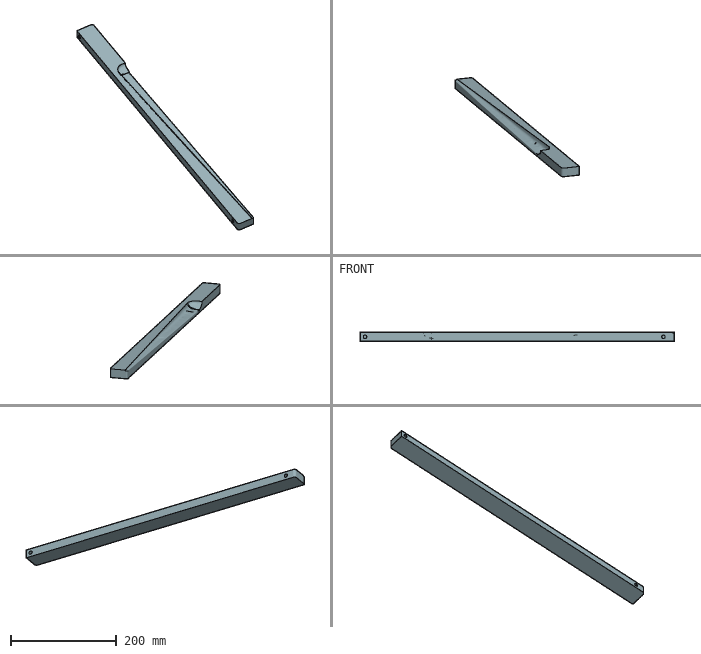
import cadquery as cq
import math

length = 595.0
width = 35.0
height = 17.0
corner_radius = 5.0
end_corner_radius = 3.0

recess_start = 119.5
recess_corner_radius = 15.5
recess_width = 23.0
recess_depth = 12.0
recess_end_width = 5.0
recess_end_depth = 1.0
floor_position = 0.6
lip_share = 0.1
lip_mid_drop = 0.5
lip_drop = 2.0
end_slope = 25.0

hole_diameter = 6.5
hole_depth = 12.0
left_hole_x = 9.5
right_hole_x = 574.0

taper_start = recess_start + recess_corner_radius


def make_bar():
    """Rectangular bar with every upright corner rounded except the -X, -Y one."""
    bar = cq.Workplane("XY").box(length, width, height, centered=False)
    bar = bar.edges("|Z and <X and >Y").fillet(corner_radius)
    bar = bar.edges("|Z and >X and <Y").fillet(corner_radius)
    return bar.edges("|Z and >X and >Y").fillet(end_corner_radius)


def recess_section(x, section_width, depth):
    """Recess profile at x: hollow wall, level floor and a lip rolling over into the +Y side."""
    wall_y = width - section_width
    floor_y = wall_y + floor_position * section_width
    lip_y = width - lip_share * section_width
    floor_z = height - depth
    return (
        cq.Workplane("YZ", origin=(x, 0, 0))
        .moveTo(wall_y, height)
        .spline(
            [(floor_y, floor_z), (lip_y, floor_z - lip_mid_drop), (width, floor_z - lip_drop)],
            tangents=[(0, -1), (1, 0), (6, -lip_drop), (0, -1)],
            includeCurrent=True,
        )
        .lineTo(width, height)
        .close()
        .wires()
        .val()
    )


def make_taper():
    """Long part of the recess, narrowing and rising towards the +X end."""
    wide_section = recess_section(taper_start, recess_width, recess_depth)
    narrow_section = recess_section(length, recess_end_width, recess_end_depth)
    return cq.Workplane(cq.Solid.makeLoft([wide_section, narrow_section], True))


def blunt_end_profile(y):
    """X-Z profile of the recess's blunt end, drawn at y with X measured from the taper start."""
    floor_z = height - recess_depth
    slope = math.radians(end_slope)
    return (
        cq.Workplane("XZ", origin=(taper_start, y, 0))
        .moveTo(0, height)
        .lineTo(-recess_corner_radius, height)
        .spline(
            [(0, floor_z)],
            tangents=[(0, -1), (math.cos(slope), -math.sin(slope))],
            includeCurrent=True,
        )
        .close()
    )


def make_rounded_end():
    """Blunt end of the recess: a quarter-round corner and a straight run to the +Y side."""
    centre_y = width - recess_width + recess_corner_radius
    straight_run = blunt_end_profile(centre_y).extrude(centre_y - width)
    corner = blunt_end_profile(centre_y).revolve(90, (0, 0, 0), (0, 1, 0))
    return straight_run.union(corner)


def make_hole(x):
    """Blind round hole entering from the -Y side at mid-height."""
    entry = cq.Workplane("XZ", origin=(x, 0, height / 2))
    return entry.circle(hole_diameter / 2).extrude(-hole_depth)


result = make_bar().cut(make_taper()).cut(make_rounded_end())
for hole_x in (left_hole_x, right_hole_x):
    result = result.cut(make_hole(hole_x))